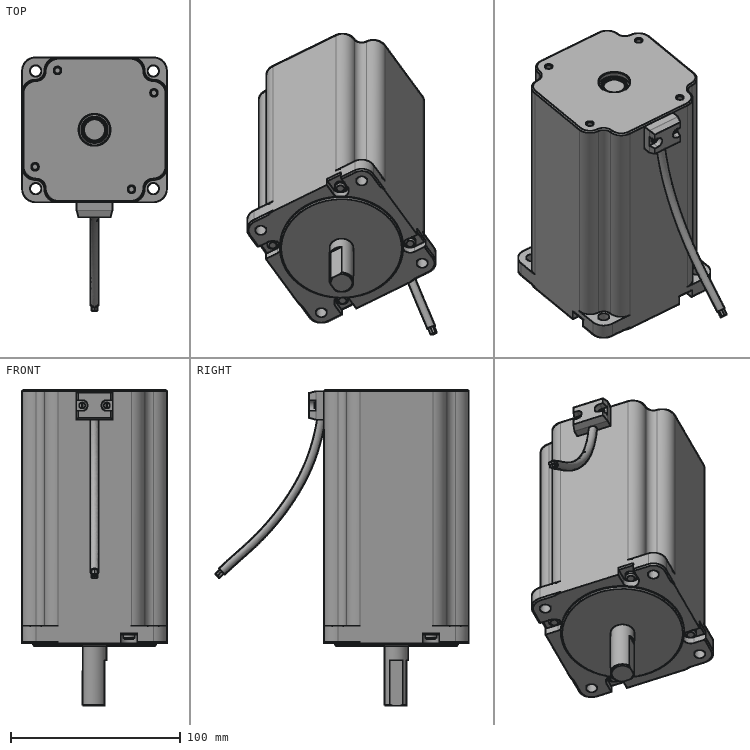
import cadquery as cq
import math


width = 85.8
half_width = width / 2
body_height = 150.0
flange_height = 10.3
bolt_offset = 34.8
bolt_hole_diameter = 6.5
corner_radius = half_width - bolt_offset
relief_radius = 5.0
edge_chamfer = 1.0

pilot_diameter = 73.1
pilot_height = 1.7
shaft_diameter = 14.2
overall_height = 187
shaft_length = overall_height - body_height
shaft_chamfer = 0.7
flat_distance = 6.0
flat_start = 10.1

recess_diameter = 18.3
recess_depth = 3.2
recess_chamfer = 0.4
rear_bore_diameter = 15.7
rear_bore_depth = 4.5
rear_shaft_chamfer = 1.0
screw_x, screw_y = 21.9, 35.2
screw_hole_diameter = 3.5
screw_hole_chamfer = 0.5
screw_hole_depth = 5.6

pocket_x = 20.4
pocket_width = 9.7
pocket_height = 5.0
pocket_mouth_chamfer = 1.0
screw_head_diameter = 6.7
screw_head_height = 2.8
screw_head_chamfer = 1.1

connector_width = 21.3
connector_height = 17.0
connector_base_depth = 4.7
connector_front_depth = 4.1
connector_inset = 1.1
connector_drop = 9.4
connector_z = body_height - connector_drop
slot_offset = 7.3
slot_width = 6.4
clamp_screw_diameter = 3.5
clamp_screw_height = 1.1
driver_slot_width = 0.5
driver_slot_length = 2.2

cable_diameter = 5.0
cable_points = [(-44.1, 134.6), (-54.8, 99.3), (-84.2, 59.8), (-103.2, 42.5)]
cable_start_angle = 82
cable_end_angle = 44
wire_diameter = 1.9
wire_offset = 0.85
wire_length = 4.0
wire_overlap = 1.0

QUARTER_TURNS = (0, 90, 180, 270)


def four_around(shape):
    """Union of the shape and its copies at quarter turns about the motor axis."""
    copies = cq.Workplane("XY")
    for angle in QUARTER_TURNS:
        copies = copies.union(shape.rotate((0, 0, 0), (0, 0, 1), angle))
    return copies


def disc(diameter, bottom, height, x=0, y=0):
    """Vertical cylinder standing on z = bottom."""
    return cq.Workplane("XY", origin=(x, y, bottom)).circle(diameter / 2).extrude(height)


def make_body():
    """Square column whose corners are relieved around the bolt holes."""
    straight_end = bolt_offset - relief_radius - corner_radius
    relief_edge = bolt_offset - relief_radius
    bulge_mid = corner_radius * math.sqrt(0.5)
    relief_mid = bolt_offset - relief_radius * math.sqrt(0.5)
    side_end = (half_width, straight_end)
    corner_arcs = [
        ((bolt_offset + bulge_mid, straight_end + bulge_mid), (bolt_offset, relief_edge)),
        ((relief_mid, relief_mid), (relief_edge, bolt_offset)),
        ((straight_end + bulge_mid, bolt_offset + bulge_mid), (straight_end, half_width)),
    ]

    def turned(point, angle):
        cosine = math.cos(math.radians(angle))
        sine = math.sin(math.radians(angle))
        return (point[0] * cosine - point[1] * sine, point[0] * sine + point[1] * cosine)

    outline = cq.Workplane("XY").moveTo(half_width, -straight_end)
    for angle in QUARTER_TURNS:
        outline = outline.lineTo(*turned(side_end, angle))
        for middle, end in corner_arcs:
            outline = outline.threePointArc(turned(middle, angle), turned(end, angle))
    return outline.close().extrude(body_height).faces(">Z").chamfer(edge_chamfer)


def make_flange():
    plate = cq.Workplane("XY").rect(width, width).extrude(flange_height)
    return plate.edges("|Z").fillet(corner_radius).faces("<Z").chamfer(edge_chamfer)


def make_bolt_holes():
    return four_around(disc(bolt_hole_diameter, 0, flange_height, bolt_offset, bolt_offset))


def make_pilot():
    return disc(pilot_diameter, -pilot_height, pilot_height).faces("<Z").chamfer(edge_chamfer)


def make_shaft():
    """Output shaft with two flats at right angles, facing +X and +Y."""
    shaft = disc(shaft_diameter, -shaft_length, shaft_length).faces("<Z").chamfer(shaft_chamfer)
    flat_length = shaft_length - flat_start
    waste = cq.Workplane("XY").box(
        shaft_diameter, shaft_diameter, flat_length, centered=(False, True, False)
    ).translate((flat_distance, 0, -shaft_length))
    return shaft.cut(waste).cut(waste.rotate((0, 0, 0), (0, 0, 1), 90))


def sunk_hole(diameter, depth, chamfer, x=0, y=0):
    """Cutter for a hole in the top face with a chamfered mouth."""
    hole = disc(diameter, body_height - depth, depth, x, y)
    mouth = cq.Solid.makeCone(
        diameter / 2, diameter / 2 + chamfer, chamfer, cq.Vector(x, y, body_height - chamfer)
    )
    return hole.union(mouth)


def make_rear_recess():
    """Stepped recess with the chamfered rear end of the shaft level with its step."""
    bore = disc(rear_bore_diameter, body_height - rear_bore_depth, rear_bore_depth)
    shaft_height = rear_bore_depth - recess_depth
    shaft = disc(shaft_diameter, body_height - rear_bore_depth, shaft_height)
    shaft = shaft.faces(">Z").chamfer(rear_shaft_chamfer)
    return sunk_hole(recess_diameter, recess_depth, recess_chamfer).union(bore).cut(shaft)


def make_top_screw_holes():
    return four_around(
        sunk_hole(screw_hole_diameter, screw_hole_depth, screw_hole_chamfer, screw_x, -screw_y)
    )


def make_flange_pockets():
    """Round-ended pockets, each with a tie screw head hanging from its ceiling."""
    passage = (
        cq.Workplane("XY")
        .box(pocket_width, half_width - screw_y, pocket_height, centered=(True, False, False))
        .translate((pocket_x, -half_width, 0))
    )
    mouth_chamfer = (
        cq.Workplane("YZ", origin=(pocket_x, -half_width, pocket_height))
        .polyline([(0, 0), (pocket_mouth_chamfer, 0), (0, pocket_mouth_chamfer)])
        .close()
        .extrude(pocket_width / 2, both=True)
    )
    head_bottom = pocket_height - screw_head_height
    head = disc(screw_head_diameter, head_bottom, screw_head_height, pocket_x, -screw_y)
    head = head.faces("<Z").chamfer(screw_head_chamfer)
    pocket = disc(pocket_width, 0, pocket_height, pocket_x, -screw_y).union(passage).union(mouth_chamfer)
    return four_around(pocket.cut(head))


def make_connector():
    """Block with a tapered front and two screws sunk in slots open to the sides."""
    taper = math.degrees(math.atan(connector_inset / connector_front_depth))
    base_front = half_width + connector_base_depth

    def front_plane(distance, x=0):
        return cq.Workplane("XZ", origin=(x, -distance, connector_z))

    block = front_plane(half_width).rect(connector_width, connector_height).extrude(connector_base_depth)
    block = block.union(
        front_plane(base_front)
        .rect(connector_width, connector_height)
        .extrude(connector_front_depth, taper=taper)
    )
    for side in (-1, 1):
        x = side * slot_offset
        slot = front_plane(base_front, x).circle(slot_width / 2).extrude(connector_front_depth)
        opening = (
            front_plane(base_front, x + side * slot_offset / 2)
            .rect(slot_offset, slot_width)
            .extrude(connector_front_depth)
        )
        screw = (
            front_plane(base_front, x)
            .circle(clamp_screw_diameter / 2)
            .rect(driver_slot_width, driver_slot_length)
            .extrude(clamp_screw_height)
        )
        block = block.cut(slot).cut(opening).union(screw)
    return block


def make_cable():
    """Curved round cable ending in four straight wires."""
    def heading(angle):
        return cq.Vector(0, -math.cos(math.radians(angle)), -math.sin(math.radians(angle)))

    points = [cq.Vector(0, y, z) for y, z in cable_points]
    start_heading = heading(cable_start_angle)
    end_heading = heading(cable_end_angle)
    path = cq.Edge.makeSpline(points, tangents=[start_heading, end_heading])
    section = cq.Plane(origin=points[0], xDir=(1, 0, 0), normal=start_heading)
    cable = cq.Workplane(section).circle(cable_diameter / 2).sweep(cq.Workplane(path))
    wire_plane = cq.Plane(
        origin=points[-1] - end_heading * wire_overlap, xDir=(1, 0, 0), normal=end_heading
    )
    for x in (-wire_offset, wire_offset):
        for y in (-wire_offset, wire_offset):
            wire = cq.Workplane(wire_plane).center(x, y).circle(wire_diameter / 2)
            cable = cable.union(wire.extrude(wire_overlap + wire_length))
    return cable


result = (
    make_body()
    .union(make_flange())
    .union(make_pilot())
    .cut(make_flange_pockets())
    .cut(make_bolt_holes())
    .cut(make_rear_recess())
    .cut(make_top_screw_holes())
    .union(make_shaft())
    .union(make_connector())
    .union(make_cable())
)